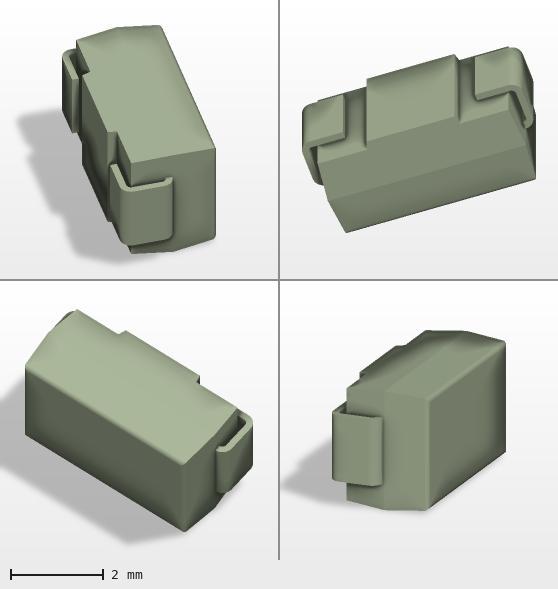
import cadquery as cq
import math

LENGTH = 5.0
HEIGHT = 2.2

HOUSING_LENGTH = 4.5
HOUSING_DEPTH = 2.7
PARTING_Y = 1.205
DRAFT_ANGLE = 5.0
TOP_FILLET = 0.1
UNDERSIDE_Y = 0.28

PAD_Y = 0.085
PAD_ROOT_LENGTH = 2.1
PAD_TIP_LENGTH = 2.0

LEAD_WIDTH = 1.5
LEAD_THICKNESS = 0.15
LEAD_OUTER_RADIUS = 0.25
LEAD_INNER_RADIUS = LEAD_OUTER_RADIUS - LEAD_THICKNESS
LEAD_TOP_Y = 1.175
FOOT_LENGTH = 1.0


def drafted_half(height, direction):
    """Rectangular block narrowing away from the parting plane; direction is +1 or -1 along Y."""
    plane = cq.Plane(origin=(0, PARTING_Y, 0), xDir=(1, 0, 0), normal=(0, direction, 0))
    return cq.Workplane(plane).rect(HOUSING_LENGTH, HOUSING_DEPTH).extrude(height, taper=DRAFT_ANGLE)


def underside_envelope():
    """Prism along Z whose lower profile is the flat underside with the sloped-end pad."""
    half_length = HOUSING_LENGTH / 2
    half_root = PAD_ROOT_LENGTH / 2
    half_tip = PAD_TIP_LENGTH / 2
    return (
        cq.Workplane("XY")
        .polyline([
            (-half_length, PARTING_Y),
            (-half_length, UNDERSIDE_Y),
            (-half_root, UNDERSIDE_Y),
            (-half_tip, PAD_Y),
            (half_tip, PAD_Y),
            (half_root, UNDERSIDE_Y),
            (half_length, UNDERSIDE_Y),
            (half_length, PARTING_Y),
        ])
        .close()
        .extrude(HOUSING_DEPTH / 2, both=True)
    )


def make_housing():
    """Two drafted halves, rounded on the top edges and stepped on the underside."""
    upper = drafted_half(HEIGHT - PARTING_Y, 1).faces(">Y").edges().fillet(TOP_FILLET)
    lower = drafted_half(PARTING_Y - PAD_Y, -1).intersect(underside_envelope())
    return upper.union(lower)


def housing_half_length_at(y):
    """Half length of the lower housing at height y."""
    return HOUSING_LENGTH / 2 - (PARTING_Y - y) * math.tan(math.radians(DRAFT_ANGLE))


def make_lead(side):
    """C-shaped lead at one end (side is +1 or -1), its upper arm ending flush on the drafted wall."""
    outer_x = LENGTH / 2
    inner_x = outer_x - LEAD_THICKNESS
    bend_x = outer_x - LEAD_OUTER_RADIUS
    foot_x = outer_x - FOOT_LENGTH
    arm_bottom_y = LEAD_TOP_Y - LEAD_THICKNESS
    lead = (
        cq.Workplane("XY")
        .moveTo(housing_half_length_at(LEAD_TOP_Y), LEAD_TOP_Y)
        .lineTo(bend_x, LEAD_TOP_Y)
        .radiusArc((outer_x, LEAD_TOP_Y - LEAD_OUTER_RADIUS), LEAD_OUTER_RADIUS)
        .lineTo(outer_x, LEAD_OUTER_RADIUS)
        .radiusArc((bend_x, 0), LEAD_OUTER_RADIUS)
        .lineTo(foot_x, 0)
        .lineTo(foot_x, LEAD_THICKNESS)
        .lineTo(bend_x, LEAD_THICKNESS)
        .radiusArc((inner_x, LEAD_OUTER_RADIUS), -LEAD_INNER_RADIUS)
        .lineTo(inner_x, LEAD_TOP_Y - LEAD_OUTER_RADIUS)
        .radiusArc((bend_x, arm_bottom_y), -LEAD_INNER_RADIUS)
        .lineTo(housing_half_length_at(arm_bottom_y), arm_bottom_y)
        .close()
        .extrude(LEAD_WIDTH / 2, both=True)
    )
    return lead if side > 0 else lead.mirror("YZ")


housing = make_housing()
leads = [make_lead(side) for side in (-1, 1)]

result = cq.Compound.makeCompound([housing.val(), *[lead.val() for lead in leads]])